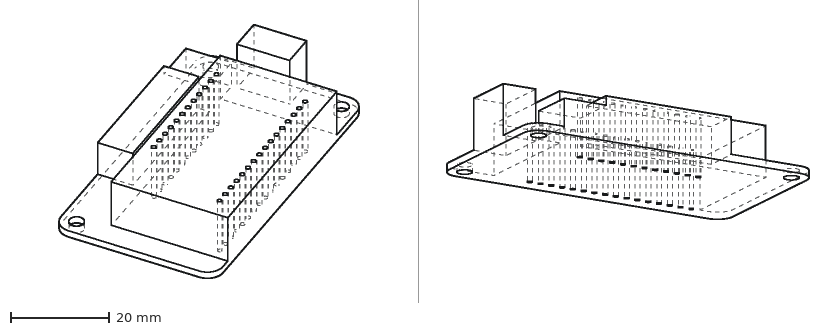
import cadquery as cq

BOARD_WIDTH = 37.2
BOARD_LENGTH = 66.82
BOARD_THICKNESS = 1.6
CORNER_RADIUS = 3.6
MOUNTING_HOLE_DIAMETER = 3.2

MODULE_WIDTH = 26.76
MODULE_LENGTH = 48.6
MODULE_HEIGHT = 11.0
MODULE_FRONT_MARGIN = 5.68

SOCKET_WIDTH = 12.1
SOCKET_DEPTH = 7.6
SOCKET_HEIGHT = MODULE_HEIGHT
SOCKET_CENTER_X = -0.88

LOW_BLOCK_LENGTH = 9.8
LOW_BLOCK_HEIGHT = 6.0

SIDE_CONNECTOR_WIDTH = 8.05
SIDE_CONNECTOR_LENGTH = 29.5
SIDE_CONNECTOR_HEIGHT = 8.0

PIN_PITCH = 2.54
PIN_ROW_SPACING = 8 * PIN_PITCH
LEFT_PIN_COUNT = 12
RIGHT_PIN_COUNT = 16
PIN_HOLE_DIAMETER = 1.0
END_PIN_HOLE_DIAMETER = 0.9
LEFT_ROW_X = -5.91
FIRST_PIN_Y = 14.79

LEFT_EDGE = -BOARD_WIDTH / 2
RIGHT_EDGE = BOARD_WIDTH / 2
RIGHT_ROW_X = LEFT_ROW_X + PIN_ROW_SPACING
FRONT_EDGE = -BOARD_LENGTH / 2
BACK_EDGE = BOARD_LENGTH / 2
MODULE_LEFT = RIGHT_EDGE - MODULE_WIDTH
SOCKET_FRONT = BACK_EDGE - SOCKET_DEPTH
LOW_BLOCK_FRONT = SOCKET_FRONT - LOW_BLOCK_LENGTH
HOLE_X = RIGHT_EDGE - CORNER_RADIUS
HOLE_Y = BACK_EDGE - CORNER_RADIUS
TOTAL_HEIGHT = BOARD_THICKNESS + MODULE_HEIGHT


def make_board():
    """Rounded plate with mounting holes concentric with three of its corners."""
    hole_centers = [(-HOLE_X, HOLE_Y), (HOLE_X, HOLE_Y), (-HOLE_X, -HOLE_Y)]
    plate = cq.Workplane("XY").rect(BOARD_WIDTH, BOARD_LENGTH).extrude(BOARD_THICKNESS)
    plate = plate.edges("|Z").fillet(CORNER_RADIUS)
    holes = cq.Workplane("XY").pushPoints(hole_centers).circle(MOUNTING_HOLE_DIAMETER / 2)
    return plate.cut(holes.extrude(BOARD_THICKNESS))


def make_component(left, front, width, length, height):
    """Box standing on the board, placed by its left front corner."""
    block = cq.Workplane("XY").box(width, length, height, centered=False)
    return block.translate((left, front, BOARD_THICKNESS))


def make_pin_holes(row_x, first_pin, count, diameter):
    """Consecutive through holes of a pin row, numbered from the back toward the front."""
    pins = range(first_pin, first_pin + count)
    centers = [(row_x, FIRST_PIN_Y - pin * PIN_PITCH) for pin in pins]
    return cq.Workplane("XY").pushPoints(centers).circle(diameter / 2).extrude(TOTAL_HEIGHT)


module = make_component(
    MODULE_LEFT, FRONT_EDGE + MODULE_FRONT_MARGIN, MODULE_WIDTH, MODULE_LENGTH, MODULE_HEIGHT
)
socket = make_component(
    SOCKET_CENTER_X - SOCKET_WIDTH / 2, SOCKET_FRONT, SOCKET_WIDTH, SOCKET_DEPTH, SOCKET_HEIGHT
)
low_block = make_component(
    LEFT_EDGE, LOW_BLOCK_FRONT, MODULE_LEFT - LEFT_EDGE, LOW_BLOCK_LENGTH, LOW_BLOCK_HEIGHT
)
side_connector = make_component(
    LEFT_EDGE,
    LOW_BLOCK_FRONT - SIDE_CONNECTOR_LENGTH,
    SIDE_CONNECTOR_WIDTH,
    SIDE_CONNECTOR_LENGTH,
    SIDE_CONNECTOR_HEIGHT,
)

result = make_board()
for component in (module, socket, low_block, side_connector):
    result = result.union(component)

end_pin = RIGHT_PIN_COUNT - 1
result = result.cut(make_pin_holes(LEFT_ROW_X, 0, LEFT_PIN_COUNT, PIN_HOLE_DIAMETER))
result = result.cut(make_pin_holes(RIGHT_ROW_X, 0, end_pin, PIN_HOLE_DIAMETER))
result = result.cut(make_pin_holes(RIGHT_ROW_X, end_pin, 1, END_PIN_HOLE_DIAMETER))